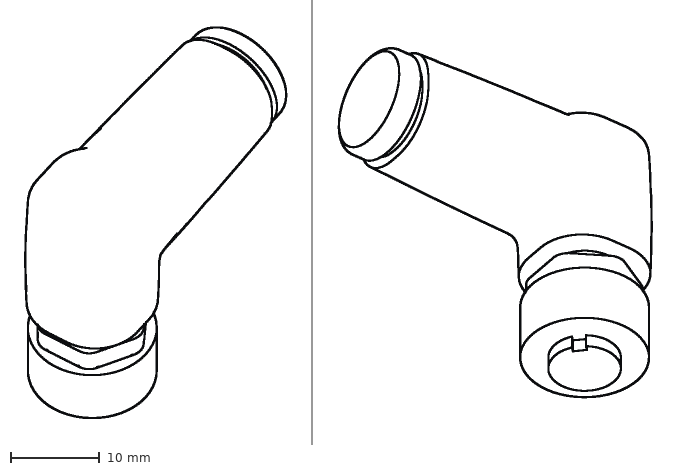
import cadquery as cq
import math


OVERALL_LENGTH = 37.3

TIP_DIAMETER = 8.2
TIP_HEIGHT = 1.55
KEYWAY_WIDTH = 1.6
KEYWAY_DEPTH = 0.8
KEYWAY_ANGLE = 135.0
NUT_DIAMETER = 14.6
NUT_TOP = 9.03
NUT_CHAMFER_HEIGHT = 0.25
NUT_CHAMFER_WIDTH = 1.0
HEX_ACROSS_FLATS = 12.0
HEX_CORNER_RADIUS = 2.0
HEX_TOP = 11.67
NECK_DIAMETER = 8.95

LEG_BOTTOM = 13.4
BODY_TOP = 32.0
LEG_SECTIONS = [
    (LEG_BOTTOM, 6.98, 5.8),
    (22.38, 7.0, 5.6),
    (BODY_TOP, 6.53, 4.85),
]
LEG_TOP_ROUNDING = 1.95

ARM_AXIS_HEIGHT = 24.88
ARM_START = 1.12
ARM_END = 26.45
ARM_SECTIONS = [
    (ARM_START, 6.8, 7.1, 5.4),
    (13.05, 6.8, 7.05, 5.8),
    (ARM_END, 6.5, 6.83, 5.95),
]
INNER_CORNER_RADIUS = 1.85
SEAM_MARGIN = 0.55

GROOVE_WIDTH = 10.65
GROOVE_HEIGHT = 11.35
GROOVE_CORNER_RADIUS = 5.22
RIM_START = 27.5
RIM_END = OVERALL_LENGTH - NUT_DIAMETER / 2
RIM_RADIUS = 6.5
RIM_FACE_RADIUS = 5.82
RIM_ROUND_LENGTH = 0.97


def rounded_rectangle(width, height, corner_radius):
    return cq.Sketch().rect(width, height).vertices().fillet(corner_radius)


def arm_workplane(distance=0.0):
    """Plane across the arm: local x is -X, local y is Z, the normal is +Y."""
    plane = cq.Plane(origin=(0, distance, ARM_AXIS_HEIGHT), xDir=(-1, 0, 0), normal=(0, 1, 0))
    return cq.Workplane(plane)


def disc(diameter, bottom, top):
    return cq.Workplane("XY").workplane(offset=bottom).circle(diameter / 2).extrude(top - bottom)


def leg():
    sections = [
        rounded_rectangle(2 * half, 2 * half, radius).moved(cq.Location(cq.Vector(0, 0, height)))
        for height, half, radius in LEG_SECTIONS
    ]
    return cq.Workplane("XY").placeSketch(*sections).loft().faces(">Z").edges().fillet(LEG_TOP_ROUNDING)


def arm():
    sections = [
        rounded_rectangle(2 * half_width, 2 * half_height, radius).moved(
            cq.Location(cq.Vector(0, 0, distance)))
        for distance, half_width, half_height, radius in ARM_SECTIONS
    ]
    return arm_workplane().placeSketch(*sections).loft()


def arm_end():
    """Groove and rim that close the arm, the rim rounded towards its end face."""
    groove_outline = rounded_rectangle(GROOVE_WIDTH, GROOVE_HEIGHT, GROOVE_CORNER_RADIUS)
    groove = arm_workplane(ARM_END).placeSketch(groove_outline).extrude(RIM_START - ARM_END)

    drop = RIM_RADIUS - RIM_FACE_RADIUS
    round_start = RIM_END - RIM_ROUND_LENGTH
    rim = (
        cq.Workplane("YZ", origin=(0, 0, ARM_AXIS_HEIGHT))
        .moveTo(RIM_START, 0)
        .lineTo(RIM_START, RIM_RADIUS)
        .lineTo(round_start, RIM_RADIUS)
        .tangentArcPoint((RIM_ROUND_LENGTH, -drop))
        .lineTo(RIM_END, 0)
        .close()
        .revolve(360, (0, 0, 0), (1, 0, 0))
    )
    return groove.union(rim)


def keyed_tip():
    tip = disc(TIP_DIAMETER, 0, TIP_HEIGHT)
    keyway = (
        cq.Workplane("XY")
        .center(TIP_DIAMETER / 2, 0)
        .rect(2 * KEYWAY_DEPTH, KEYWAY_WIDTH)
        .extrude(TIP_HEIGHT)
        .rotate((0, 0, 0), (0, 0, 1), KEYWAY_ANGLE)
    )
    return tip.cut(keyway)


def nut():
    ring = disc(NUT_DIAMETER, TIP_HEIGHT, NUT_TOP)
    ring = ring.faces(">Z").chamfer(NUT_CHAMFER_HEIGHT, NUT_CHAMFER_WIDTH)
    across_corners = HEX_ACROSS_FLATS / math.cos(math.radians(30))
    hexagon = (
        cq.Workplane("XY")
        .workplane(offset=NUT_TOP)
        .polygon(6, across_corners)
        .extrude(HEX_TOP - NUT_TOP)
        .edges("|Z")
        .fillet(HEX_CORNER_RADIUS)
    )
    return ring.union(hexagon)


def elbow():
    """Leg and arm joined, with the seam below and beside the arm rounded out."""
    joined = leg().union(arm())
    half_span = NUT_DIAMETER / 2
    seam_region = cq.selectors.BoxSelector(
        (-half_span, ARM_START + SEAM_MARGIN, LEG_BOTTOM + SEAM_MARGIN),
        (half_span, half_span, ARM_AXIS_HEIGHT + SEAM_MARGIN),
    )
    return joined.edges(seam_region).fillet(INNER_CORNER_RADIUS)


result = (
    elbow()
    .union(arm_end())
    .union(disc(NECK_DIAMETER, HEX_TOP, LEG_BOTTOM))
    .union(nut())
    .union(keyed_tip())
)